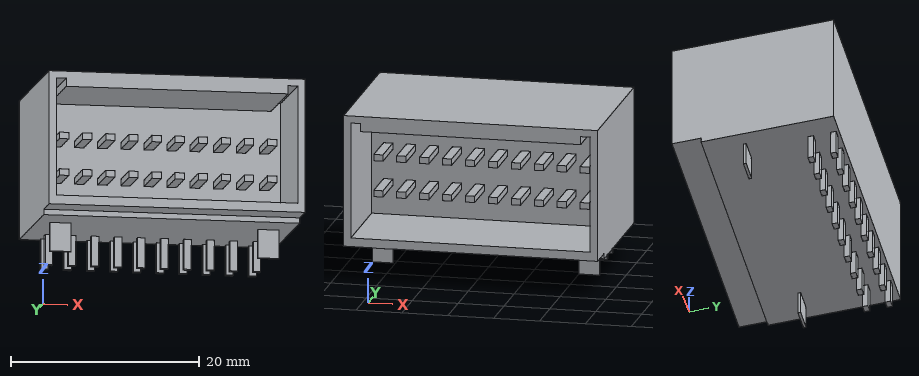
import cadquery as cq

width = 27.7
depth = 17.8
total_height = 18.25
housing_height = 15.0

relief_height = 0.58
relief_depth = 3.2

side_wall = 0.8
ceiling_wall = 0.78
cavity_floor_z = -13.45
cavity_depth = 10.2

key_end_gap = 1.05
key_drop = 0.9

contacts_per_row = 10
contact_span = 22.5
contact_pitch = contact_span / (contacts_per_row - 1)
contact_xs = [i * contact_pitch - contact_span / 2 for i in range(contacts_per_row)]

pin_width = 1.0
pin_height = 0.7
pin_length = 4.82
upper_pin_z = -5.95
pin_row_spacing = 3.95
pin_row_zs = [upper_pin_z, upper_pin_z - pin_row_spacing]

tail_width = 0.8
tail_thickness = 0.6
tail_length = total_height - housing_height
rear_tail_y = depth - 0.6
tail_row_ys = [rear_tail_y, rear_tail_y - contact_pitch]

tab_width = 2.27
tab_thickness = 0.3
tab_length = 3.07
tab_y = 7.65


def block(size_x, size_y, size_z, x, y, top_z):
    """Box centred on x, starting at y and running back, hanging down from top_z."""
    box = cq.Workplane("XY").box(size_x, size_y, size_z, centered=(True, False, False))
    return box.translate((x, y, top_z - size_z))


def make_housing():
    cavity_width = width - 2 * side_wall
    key_width = cavity_width - 2 * key_end_gap
    relief_top_z = relief_height - housing_height

    body = block(width, depth, housing_height, 0, 0, 0)
    relief = block(width, relief_depth, relief_height, 0, 0, relief_top_z)
    cavity = block(cavity_width, cavity_depth, -ceiling_wall - cavity_floor_z, 0, 0, -ceiling_wall)
    key = block(key_width, cavity_depth, key_drop, 0, 0, -ceiling_wall)
    return body.cut(relief).cut(cavity).union(key)


def make_pin(x, z):
    """Straight pin standing forward from the back wall of the cavity."""
    return block(pin_width, pin_length, pin_height, x, cavity_depth - pin_length, z + pin_height / 2)


def make_leg(leg_width, thickness, length, x, y):
    """Rectangular leg below the housing, centred on x and y."""
    return block(leg_width, thickness, length, x, y - thickness / 2, -housing_height)


result = make_housing()

for x in contact_xs:
    for z in pin_row_zs:
        result = result.union(make_pin(x, z))
    for y in tail_row_ys:
        result = result.union(make_leg(tail_width, tail_thickness, tail_length, x, y))

for x in (contact_xs[0], contact_xs[-1]):
    result = result.union(make_leg(tab_width, tab_thickness, tab_length, x, tab_y))